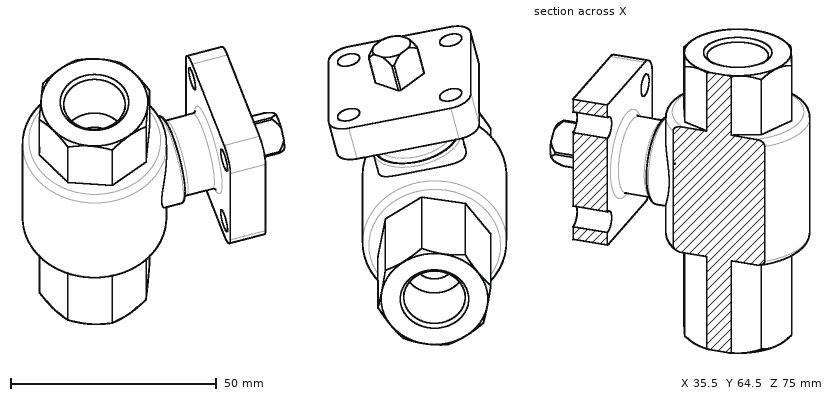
import cadquery as cq
import math

total_length = 75
body_diameter = 35.0
body_bottom = 25.0
body_top = 59.0
body_fillet = 1.5
octagon_flats = 26.0
octagon_face_diameter = 25.95

passage_diameter = 10.0
port_diameter = 14.9
port_mouth_diameter = 16.65
port_depth = 15
port_taper_depth = (port_diameter - passage_diameter) / 2
port_mouth_depth = (port_mouth_diameter - port_diameter) / 2

stem_z = 42.6
boss_diameter = 22.0
boss_end_y = 19.8
boss_round = 0.7
neck_diameter = 19.0
neck_boss_fillet = 1.0
neck_flange_fillet = 1.5

flange_width = 35.5
flange_height = 37.95
flange_thickness = 9
flange_corner_radius = 5.0
overall_depth = 64.5
stem_tip_y = overall_depth - body_diameter / 2
square_length = 9
flange_outer_y = stem_tip_y - square_length
flange_inner_y = flange_outer_y - flange_thickness
bolt_hole_diameter = 5.5
bolt_circle_diameter = 36

square_side = 9
square_corner_diameter = 12.15
square_tip_diameter = 9.45
square_chamfer_length = 1.7


def stem_plane(y):
    """Workplane facing +Y on the stem axis; its local x runs along +X."""
    return cq.Workplane(cq.Plane((0, y, stem_z), xDir=(1, 0, 0), normal=(0, 1, 0)))


def make_octagon_bar():
    """Octagonal bar with its corners on X and Y and 45-degree conical end chamfers."""
    corner_diameter = octagon_flats / math.cos(math.pi / 8)
    corner_radius = corner_diameter / 2
    face_radius = octagon_face_diameter / 2
    chamfer = corner_radius - face_radius
    bar = cq.Workplane("XY").polygon(8, corner_diameter).extrude(total_length)
    envelope = (
        cq.Workplane("XZ")
        .moveTo(0, 0)
        .lineTo(face_radius, 0)
        .lineTo(corner_radius, chamfer)
        .lineTo(corner_radius, total_length - chamfer)
        .lineTo(face_radius, total_length)
        .lineTo(0, total_length)
        .close()
        .revolve(360, (0, 0, 0), (0, 1, 0))
    )
    return bar.intersect(envelope)


def make_body():
    return (
        cq.Workplane("XY", origin=(0, 0, body_bottom))
        .circle(body_diameter / 2)
        .extrude(body_top - body_bottom)
        .faces("<Z or >Z")
        .edges()
        .fillet(body_fillet)
    )


def make_neck():
    """Turned boss and neck, flaring where it meets the flange."""
    boss_radius = boss_diameter / 2
    neck_radius = neck_diameter / 2
    inset_ratio = 1 - math.sqrt(0.5)
    round_inset = boss_round * inset_ratio
    boss_inset = neck_boss_fillet * inset_ratio
    flange_inset = neck_flange_fillet * inset_ratio

    return (
        cq.Workplane("XY", origin=(0, 0, stem_z))
        .moveTo(0, 0)
        .lineTo(boss_radius, 0)
        .lineTo(boss_radius, boss_end_y - boss_round)
        .threePointArc(
            (boss_radius - round_inset, boss_end_y - round_inset),
            (boss_radius - boss_round, boss_end_y),
        )
        .lineTo(neck_radius + neck_boss_fillet, boss_end_y)
        .threePointArc(
            (neck_radius + boss_inset, boss_end_y + boss_inset),
            (neck_radius, boss_end_y + neck_boss_fillet),
        )
        .lineTo(neck_radius, flange_inner_y - neck_flange_fillet)
        .threePointArc(
            (neck_radius + flange_inset, flange_inner_y - flange_inset),
            (neck_radius + neck_flange_fillet, flange_inner_y),
        )
        .lineTo(0, flange_inner_y)
        .close()
        .revolve(360, (0, 0, 0), (0, 1, 0))
    )


def make_flange():
    bolt_spacing = bolt_circle_diameter * math.sqrt(0.5)
    plate = (
        stem_plane(flange_inner_y)
        .rect(flange_width, flange_height)
        .extrude(flange_thickness)
        .edges("|Y")
        .fillet(flange_corner_radius)
    )
    holes = (
        stem_plane(flange_inner_y)
        .rect(bolt_spacing, bolt_spacing, forConstruction=True)
        .vertices()
        .circle(bolt_hole_diameter / 2)
        .extrude(flange_thickness)
    )
    return plate.cut(holes)


def make_square_drive():
    """Square shank with turned-down corners and a conical tip."""
    square = (
        stem_plane(flange_outer_y)
        .transformed(rotate=(0, 0, 45))
        .rect(square_side, square_side)
        .extrude(square_length)
    )
    envelope = (
        cq.Workplane("XY", origin=(0, 0, stem_z))
        .moveTo(0, flange_outer_y)
        .lineTo(square_corner_diameter / 2, flange_outer_y)
        .lineTo(square_corner_diameter / 2, stem_tip_y - square_chamfer_length)
        .lineTo(square_tip_diameter / 2, stem_tip_y)
        .lineTo(0, stem_tip_y)
        .close()
        .revolve(360, (0, 0, 0), (0, 1, 0))
    )
    return square.intersect(envelope)


def make_passage():
    """Through passage with a tapered, chamfered port at each end."""
    passage_radius = passage_diameter / 2
    port_radius = port_diameter / 2
    mouth_radius = port_mouth_diameter / 2
    taper_end = port_depth + port_taper_depth
    lower_half = (
        cq.Workplane("XZ")
        .moveTo(0, 0)
        .lineTo(mouth_radius, 0)
        .lineTo(port_radius, port_mouth_depth)
        .lineTo(port_radius, port_depth)
        .lineTo(passage_radius, taper_end)
        .lineTo(passage_radius, total_length / 2)
        .lineTo(0, total_length / 2)
        .close()
        .revolve(360, (0, 0, 0), (0, 1, 0))
    )
    upper_half = lower_half.mirror("XY", (0, 0, total_length / 2))
    return lower_half.union(upper_half)


result = (
    make_octagon_bar()
    .union(make_body())
    .union(make_neck())
    .union(make_flange())
    .union(make_square_drive())
    .cut(make_passage())
)